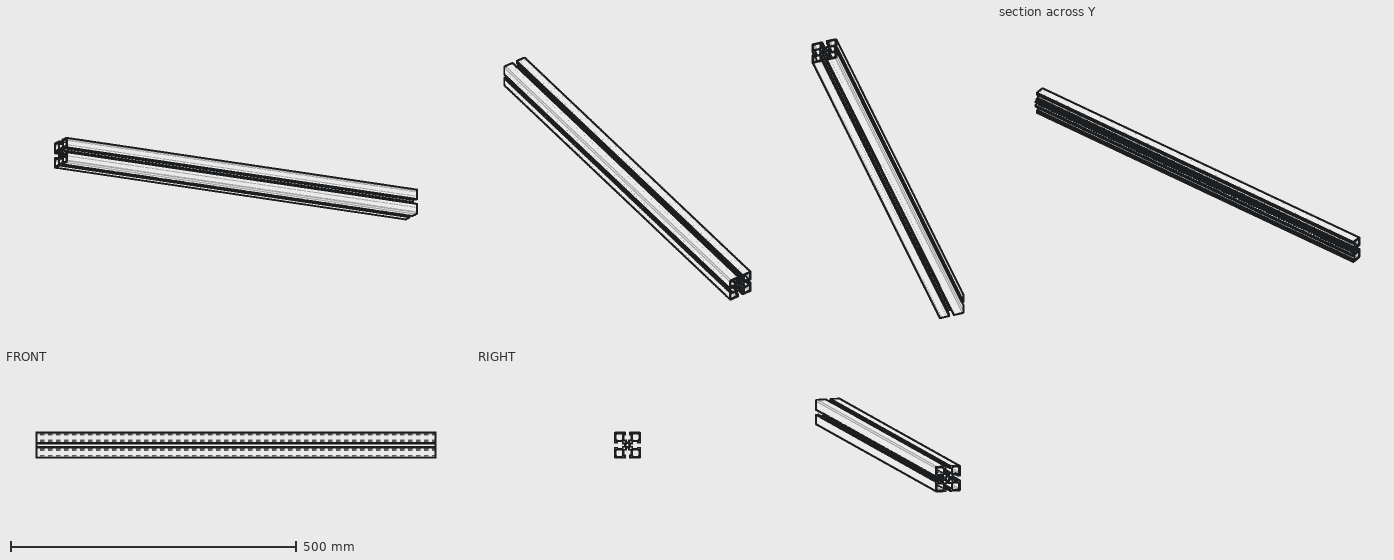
import cadquery as cq

LENGTH = 700.0
SIDE = 45.0
CORNER_RADIUS = 2.45
OUTER_WALL = 2.0
SLOT_WALL = 1.5
CHAMBER_RADIUS = 2.0
SLOT_OPENING = 8.5
LIP_THICKNESS = 4.55
LIP_BEVEL = 0.35
SLOT_WIDTH = 13.0
FLOOR_BEVEL = 1.0
CORE_SIDE = 17.0
GROOVE_WIDTH = 5.0
GROOVE_DEPTH = 3.5
BORE_DIAMETER = 7.0

HALF_SIDE = SIDE / 2
HALF_OPENING = SLOT_OPENING / 2
HALF_SLOT = SLOT_WIDTH / 2
HALF_GROOVE = GROOVE_WIDTH / 2
SLOT_FLOOR = CORE_SIDE / 2
CAVITY_TOP = HALF_SIDE - LIP_THICKNESS
CHAMBER_INNER = HALF_SLOT + SLOT_WALL
CHAMBER_SIDE = HALF_SIDE - OUTER_WALL - CHAMBER_INNER
CHAMBER_CENTER = CHAMBER_INNER + CHAMBER_SIDE / 2


def extrude_along_length(sketch):
    """Extrude a YZ sketch over the whole profile length, centred on the origin."""
    return sketch.extrude(LENGTH / 2, both=True)


def body():
    """Solid square bar with rounded long edges."""
    sketch = cq.Workplane("YZ").rect(SIDE, SIDE)
    return extrude_along_length(sketch).edges("|X").fillet(CORNER_RADIUS)


def slot():
    """T-slot open at +Z, with bevelled lips and a groove in its floor."""
    right_side = [
        (HALF_GROOVE, SLOT_FLOOR - GROOVE_DEPTH),
        (HALF_GROOVE, SLOT_FLOOR),
        (HALF_SLOT - FLOOR_BEVEL, SLOT_FLOOR),
        (HALF_SLOT, SLOT_FLOOR + FLOOR_BEVEL),
        (HALF_SLOT, CAVITY_TOP),
        (HALF_OPENING + LIP_BEVEL, CAVITY_TOP),
        (HALF_OPENING, CAVITY_TOP + LIP_BEVEL),
        (HALF_OPENING, HALF_SIDE - LIP_BEVEL),
        (HALF_OPENING + LIP_BEVEL, HALF_SIDE),
    ]
    left_side = [(-y, z) for y, z in reversed(right_side)]
    sketch = cq.Workplane("YZ").polyline(right_side + left_side).close()
    return extrude_along_length(sketch)


def chamber():
    """Hollow square channel with rounded corners in the +Y +Z quarter."""
    sketch = cq.Workplane("YZ").center(CHAMBER_CENTER, CHAMBER_CENTER).rect(CHAMBER_SIDE, CHAMBER_SIDE)
    return extrude_along_length(sketch).edges("|X").fillet(CHAMBER_RADIUS)


def bore():
    """Round hole through the core."""
    return extrude_along_length(cq.Workplane("YZ").circle(BORE_DIAMETER / 2))


quarter_cutters = [slot(), chamber()]
result = body().cut(bore())
for angle in (0, 90, 180, 270):
    for cutter in quarter_cutters:
        result = result.cut(cutter.rotate((0, 0, 0), (1, 0, 0), angle))